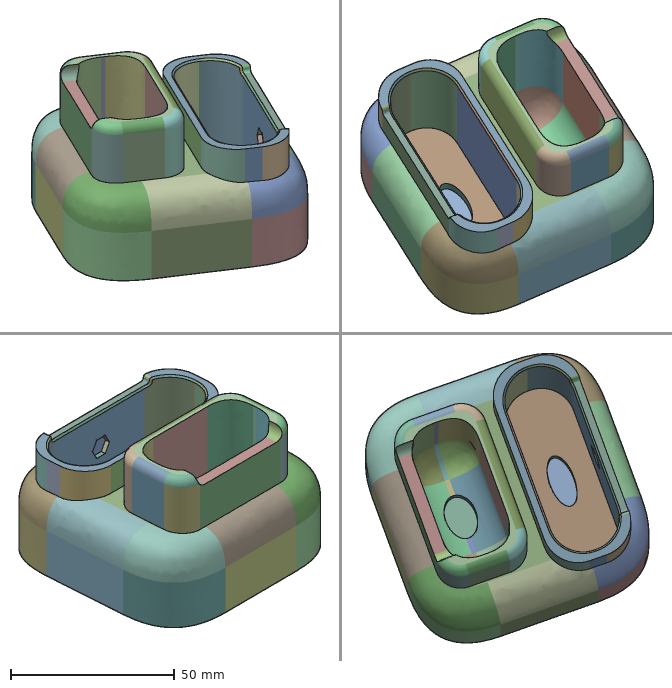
import cadquery as cq

BASE_SIDE = 76.2
BASE_HEIGHT = 27.7
CORNER_SPAN = 22.2
SHOULDER_SPAN = 11.4
SOFTNESS = 0.68
FLOOR = 3.0

FRONT_Y = -15.1
FRONT_LENGTH = 51.8
FRONT_WIDTH = 28.95
FRONT_TOP = 47.0
FRONT_CORNER = 7.85
FRONT_RIM_FILLET = 3.0
FRONT_CAVITY_LENGTH = 43.9
FRONT_CAVITY_WIDTH = 21.0
FRONT_CAVITY_CORNER = 9.8
FRONT_CAVITY_BOWL = 9.75
FRONT_NOTCH_LENGTH = 38.1
FRONT_NOTCH_DEPTH = 4.0
FRONT_NOTCH_FILLET = 3.0
FRONT_HOLE_LENGTH = 14.0
FRONT_HOLE_WIDTH = 9.7

REAR_Y = 17.8
REAR_LENGTH = 65.8
REAR_WIDTH = 27.4
REAR_TOP = 37.95
REAR_CORNER = 11.0
REAR_CAVITY_LENGTH = 60.2
REAR_CAVITY_WIDTH = 21.7
REAR_CAVITY_CORNER = 10.5
REAR_RIM_CHAMFER = 0.6
REAR_NOTCH_LENGTH = 46.0
REAR_NOTCH_DEPTH = 2.0
REAR_HOLE_LENGTH = 16.5
REAR_HOLE_WIDTH = 7.7
HEX_SIDES = 6
HEX_ACROSS_CORNERS = 7.6
HEX_DEPTH = 1.7
HEX_Z = 23.4

CUP_BOTTOM = FLOOR
CAVITY_BOTTOM = CUP_BOTTOM + FLOOR


def rounded_block(length, width, corner, y, bottom, top):
    """Upright block with rounded vertical edges, centred on X = 0."""
    block = cq.Workplane("XY", origin=(0, y, bottom)).rect(length, width).extrude(top - bottom)
    return block.edges("|Z").fillet(corner)


def front_blank():
    """Outer block of the front cup, before its rim is rounded."""
    return rounded_block(FRONT_LENGTH, FRONT_WIDTH, FRONT_CORNER, FRONT_Y, CUP_BOTTOM, FRONT_TOP)


def rear_blank():
    """Outer block of the rear cup."""
    return rounded_block(REAR_LENGTH, REAR_WIDTH, REAR_CORNER, REAR_Y, CUP_BOTTOM, REAR_TOP)


def floor_hole(length, width, y):
    """Elliptical cutter through the floor of a cup, tall enough to clear a bowl-shaped floor."""
    height = FLOOR + FRONT_CAVITY_BOWL
    plane = cq.Workplane("XY", origin=(0, y, CUP_BOTTOM))
    return plane.ellipse(length / 2, width / 2).extrude(height)


def soft_outline(length, width, span, y, z):
    """Level rectangle whose corners are Bezier curves that run smoothly into the sides."""
    easing = span - SOFTNESS * span
    right = length / 2
    back = width / 2
    outline = cq.Workplane("XY", origin=(0, y, z)).moveTo(-right + span, -back)
    for x0, y0, (in_x, in_y), (out_x, out_y) in [
        (right, -back, (1, 0), (0, 1)),
        (right, back, (0, 1), (-1, 0)),
        (-right, back, (-1, 0), (0, -1)),
        (-right, -back, (0, -1), (1, 0)),
    ]:
        start = (x0 - span * in_x, y0 - span * in_y)
        start_handle = (x0 - easing * in_x, y0 - easing * in_y)
        end_handle = (x0 + easing * out_x, y0 + easing * out_y)
        end = (x0 + span * out_x, y0 + span * out_y)
        outline = outline.lineTo(*start).bezier([start, start_handle, end_handle, end])
    return outline.close()


def base_outline():
    """Square outline of the base at its underside."""
    return soft_outline(BASE_SIDE, BASE_SIDE, CORNER_SPAN, 0, 0)


def shoulder_cutter():
    """Waste above the soft top edge, swept round the base outline."""
    half = BASE_SIDE / 2
    inner = half - SHOULDER_SPAN
    lower = BASE_HEIGHT - SHOULDER_SPAN
    reach = SOFTNESS * SHOULDER_SPAN
    margin = 1.5
    section = (
        cq.Workplane("YZ", origin=(-half + CORNER_SPAN, 0, 0))
        .moveTo(-half, lower)
        .bezier([
            (-half, lower),
            (-half, lower + reach),
            (-inner - reach, BASE_HEIGHT),
            (-inner, BASE_HEIGHT),
        ])
        .lineTo(-inner, BASE_HEIGHT + margin)
        .lineTo(-half - margin, BASE_HEIGHT + margin)
        .lineTo(-half - margin, lower)
        .close()
    )
    return section.sweep(base_outline())


def make_base():
    """Soft-edged block with a fitted pocket for each cup."""
    base = base_outline().extrude(BASE_HEIGHT).cut(shoulder_cutter())
    return base.cut(front_blank()).cut(rear_blank())


def front_notch():
    """Cutter for the finger notch in the front wall, rounded at its lower corners."""
    notch = (
        cq.Workplane("XZ", origin=(0, FRONT_Y, FRONT_TOP))
        .rect(FRONT_NOTCH_LENGTH, 2 * FRONT_NOTCH_DEPTH)
        .extrude(FRONT_WIDTH)
    )
    return notch.edges("|Y and <Z").fillet(FRONT_NOTCH_FILLET)


def make_front_cup():
    """Round-rimmed cup with a bowl-bottomed cavity and a finger notch in front."""
    cup = front_blank().faces(">Z").edges().fillet(FRONT_RIM_FILLET)
    cavity = soft_outline(
        FRONT_CAVITY_LENGTH, FRONT_CAVITY_WIDTH, FRONT_CAVITY_CORNER, FRONT_Y, CAVITY_BOTTOM
    ).extrude(FRONT_TOP - CAVITY_BOTTOM)
    cavity = cavity.faces("<Z").edges().fillet(FRONT_CAVITY_BOWL)
    cup = cup.cut(cavity).cut(front_notch())
    return cup.cut(floor_hole(FRONT_HOLE_LENGTH, FRONT_HOLE_WIDTH, FRONT_Y))


def rear_notch():
    """Cutter for the shallow rear notch, whose ends are S-curves of two equal arcs."""
    bend = REAR_NOTCH_DEPTH / 2
    rim = REAR_NOTCH_LENGTH / 2
    floor = rim - 2 * bend
    return (
        cq.Workplane("XZ", origin=(0, REAR_Y, REAR_TOP))
        .moveTo(-rim, 0)
        .radiusArc((-rim + bend, -bend), bend)
        .radiusArc((-floor, -2 * bend), -bend)
        .lineTo(floor, -2 * bend)
        .radiusArc((rim - bend, -bend), -bend)
        .radiusArc((rim, 0), bend)
        .close()
        .extrude(-REAR_WIDTH)
    )


def hex_recess():
    """Cutter for the hexagonal pocket in the inside of the rear wall."""
    inner_wall_y = REAR_Y + REAR_CAVITY_WIDTH / 2
    return (
        cq.Workplane("XZ", origin=(0, inner_wall_y, HEX_Z))
        .polygon(HEX_SIDES, HEX_ACROSS_CORNERS)
        .extrude(-HEX_DEPTH)
    )


def cavity_mouth():
    """Selector for the inner edges of the rear cup's rim, down through the notch."""
    margin = 0.8
    reach_x = REAR_CAVITY_LENGTH / 2 + margin
    reach_y = REAR_CAVITY_WIDTH / 2 + margin
    low = (-reach_x, REAR_Y - reach_y, REAR_TOP - REAR_NOTCH_DEPTH - margin)
    high = (reach_x, REAR_Y + reach_y, REAR_TOP + margin)
    return cq.selectors.BoxSelector(low, high, boundingbox=True)


def make_rear_cup():
    """Flat-floored cup with a chamfered mouth and a shallow notch at the back."""
    cavity = rounded_block(
        REAR_CAVITY_LENGTH, REAR_CAVITY_WIDTH, REAR_CAVITY_CORNER, REAR_Y, CAVITY_BOTTOM, REAR_TOP
    )
    cup = rear_blank().cut(rear_notch()).cut(cavity)
    cup = cup.edges(cavity_mouth()).chamfer(REAR_RIM_CHAMFER)
    return cup.cut(floor_hole(REAR_HOLE_LENGTH, REAR_HOLE_WIDTH, REAR_Y)).cut(hex_recess())


base = make_base()
front_cup = make_front_cup()
rear_cup = make_rear_cup()
result = cq.Compound.makeCompound([base.val(), front_cup.val(), rear_cup.val()])